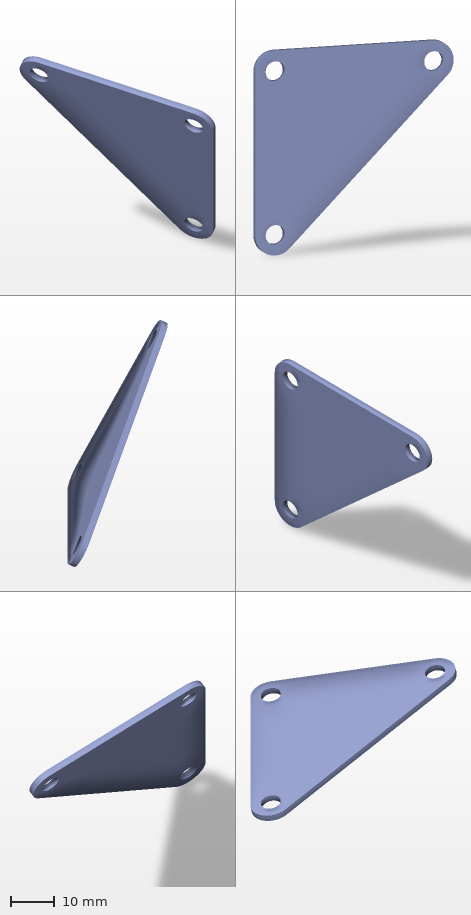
import cadquery as cq
import math

side = 47.6
thickness = 1.55
corner_radius = 4.75
hole_diameter = 4.6

reach = side / 2 - corner_radius
right_angle_corner = (reach, reach)
left_corner = (-reach, reach)
bottom_corner = (reach, -reach)
corner_centres = [right_angle_corner, left_corner, bottom_corner]

facing_right = 0
facing_upper_right = 45
facing_up = 90
facing_left = 180
facing_slope = 225
facing_down = 270


def rim(centre, direction):
    """Point on a rounded corner in the given outward direction."""
    angle = math.radians(direction)
    return (
        centre[0] + corner_radius * math.cos(angle),
        centre[1] + corner_radius * math.sin(angle),
    )


def make_plate():
    """Triangular plate with rounded corners, front face at Y = -thickness / 2."""
    return (
        cq.Workplane("XZ", origin=(0, thickness / 2, 0))
        .moveTo(*rim(right_angle_corner, facing_up))
        .lineTo(*rim(left_corner, facing_up))
        .threePointArc(rim(left_corner, facing_left), rim(left_corner, facing_slope))
        .lineTo(*rim(bottom_corner, facing_slope))
        .threePointArc(rim(bottom_corner, facing_down), rim(bottom_corner, facing_right))
        .lineTo(*rim(right_angle_corner, facing_right))
        .threePointArc(
            rim(right_angle_corner, facing_upper_right),
            rim(right_angle_corner, facing_up),
        )
        .close()
        .extrude(thickness)
    )


def make_holes():
    """Through-hole cutters concentric with the rounded corners."""
    return (
        cq.Workplane("XZ", origin=(0, thickness / 2, 0))
        .pushPoints(corner_centres)
        .circle(hole_diameter / 2)
        .extrude(thickness)
    )


result = make_plate().cut(make_holes())